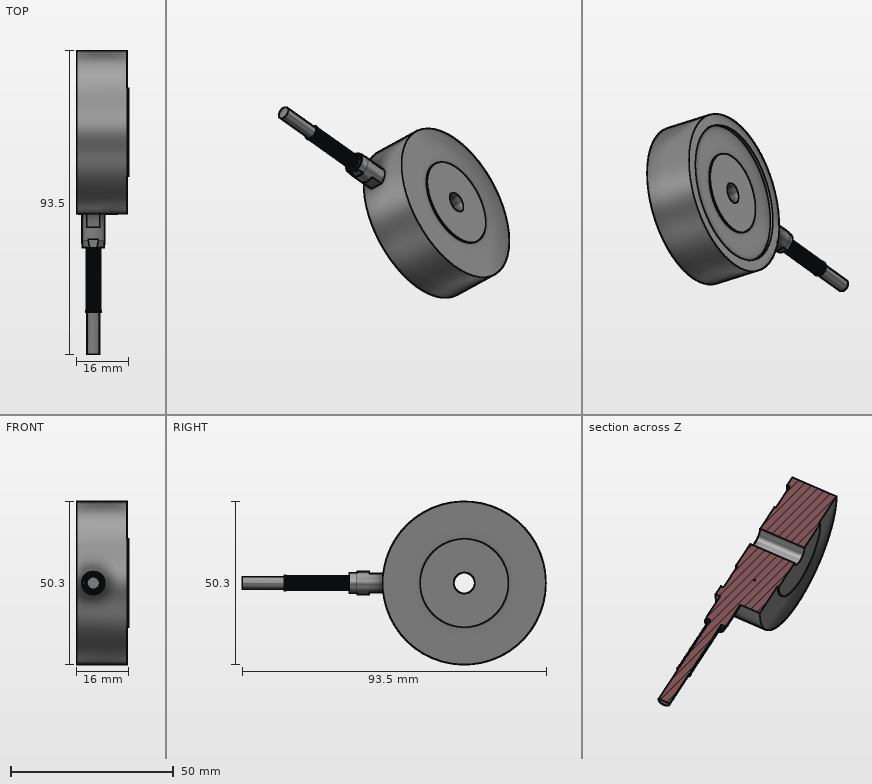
import cadquery as cq

BODY_DIA = 50.3
BODY_WIDTH = 15.5
BORE_DIA = 6.4
BOSS_DIA = 27.2
BOSS_HEIGHT = 0.5

RECESS_DIA = 43.2
RECESS_DEPTH = 0.9
CENTRE_PAD_DIA = 25.1
CENTRE_PAD_DEPTH = 0.5

OUTLET_X = 5.1
TOTAL_LENGTH = 93.5
FITTING_DIA = 7.1
FITTING_LENGTH = 8.0
FITTING_FLATS = 5.9
FITTING_FLAT_LENGTH = 4.0

NOSE_TIP_DIA = 6.7
NOSE_LENGTH = 2.2
NOSE_FLATS = 6.4
NOSE_FLAT_LENGTH = 2.5
NOSE_BORE_DIA = 5.7
NOSE_BORE_DEPTH = 0.9

CABLE_DIA = 3.9
RING_DIA = 4.5
RING_PITCH = 0.81
RING_WIDTH = RING_PITCH / 2
RING_COUNT = 24
COLLAR_DIA = 4.8
COLLAR_WIDTH = 0.5

BODY_RADIUS = BODY_DIA / 2
CABLE_LENGTH = TOTAL_LENGTH - BODY_DIA
NOSE_END = FITTING_LENGTH + NOSE_LENGTH
COLLAR_START = NOSE_END + RING_COUNT * RING_PITCH
FITTING_ROOT = -FITTING_DIA / 2


def disc(diameter, x_start, width):
    """Cylinder along +X about the body axis."""
    return cq.Workplane("YZ", origin=(x_start, 0, 0)).circle(diameter / 2).extrude(width)


def outlet_circle(diameter, start):
    """Circle about the cable axis at a distance from the body rim."""
    plane = cq.Workplane("XZ", origin=(OUTLET_X, -BODY_RADIUS - start, 0))
    return plane.circle(diameter / 2)


def sleeve(diameter, start, length):
    """Cylinder along the cable axis, running outward from start."""
    return outlet_circle(diameter, start).extrude(length)


def cut_two_flats(shape, across, start, end):
    """Cut a pair of flats, facing +Z and -Z, between two distances from the rim."""
    y_middle = -BODY_RADIUS - (start + end) / 2
    block = cq.Workplane("XY").box(FITTING_DIA, end - start, FITTING_DIA)
    z_offset = (across + FITTING_DIA) / 2
    for side in (1, -1):
        shape = shape.cut(block.translate((OUTLET_X, y_middle, side * z_offset)))
    return shape


def make_body():
    body = disc(BODY_DIA, 0, BODY_WIDTH)
    boss = disc(BOSS_DIA, BODY_WIDTH, BOSS_HEIGHT)
    centre_pad = disc(CENTRE_PAD_DIA, CENTRE_PAD_DEPTH, RECESS_DEPTH - CENTRE_PAD_DEPTH)
    recess = disc(RECESS_DIA, 0, RECESS_DEPTH).cut(centre_pad)
    return body.union(boss).cut(recess)


def make_fitting():
    barrel = sleeve(FITTING_DIA, FITTING_ROOT, FITTING_LENGTH - FITTING_ROOT)
    nose = (
        outlet_circle(FITTING_DIA, FITTING_LENGTH)
        .workplane(offset=NOSE_LENGTH)
        .circle(NOSE_TIP_DIA / 2)
        .loft()
    )
    nose_bore = sleeve(NOSE_BORE_DIA, NOSE_END - NOSE_BORE_DEPTH, NOSE_BORE_DEPTH)
    fitting = barrel.union(nose).cut(nose_bore)
    fitting = cut_two_flats(fitting, FITTING_FLATS, FITTING_ROOT, FITTING_FLAT_LENGTH)
    return cut_two_flats(fitting, NOSE_FLATS, NOSE_END - NOSE_FLAT_LENGTH, NOSE_END)


def make_cable():
    cable = sleeve(CABLE_DIA, 0, CABLE_LENGTH)
    first_ring = NOSE_END + RING_PITCH - RING_WIDTH
    for i in range(RING_COUNT):
        cable = cable.union(sleeve(RING_DIA, first_ring + i * RING_PITCH, RING_WIDTH))
    return cable.union(sleeve(COLLAR_DIA, COLLAR_START, COLLAR_WIDTH))


through_bore = disc(BORE_DIA, 0, BODY_WIDTH + BOSS_HEIGHT)
result = make_body().union(make_fitting()).union(make_cable()).cut(through_bore)